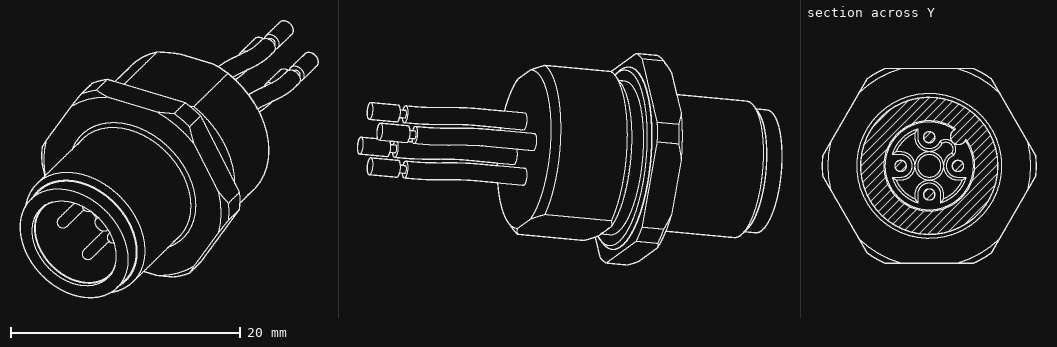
import math

import cadquery as cq


NOSE_DIAMETER = 10.8
NOSE_LENGTH = 1.45
SLEEVE_DIAMETER = 12.0
SLEEVE_CHAMFER = 0.5
SLEEVE_END_DIAMETER = SLEEVE_DIAMETER - 2 * SLEEVE_CHAMFER
COLLAR_DIAMETER = 12.65
COLLAR_LENGTH = 0.3

FLANGE_FRONT = 10.5
FLANGE_THICKNESS = 2.5
FLANGE_BACK = FLANGE_FRONT + FLANGE_THICKNESS
FLANGE_ACROSS_FLATS = 17.0
FLANGE_CORNER_DIAMETER = 18.69
FLANGE_CHAMFER = 0.5
SEAT_DIAMETER = 16.0
SEAT_HEIGHT = 0.35
SEAT_CHAMFER = 0.3

NECK_DIAMETER = 13.5
BODY_FRONT = 14.5
BODY_BACK = 22.0
BODY_DIAMETER = 15.24
BODY_ACROSS_FLATS = NECK_DIAMETER
BODY_CHAMFER = 0.67

MOUTH_DIAMETER = 8.4
MOUTH_DEPTH = 0.45
BORE_FRONT_DIAMETER = 8.25
BORE_FLOOR_DIAMETER = 7.7
FLOOR_Y = 8.5
KEY_DIAMETER = 1.4
KEY_RADIAL_POSITION = 3.6
KEY_ANGLE = 45.0

RECESS_DEPTH = 1.0
RECESS_DRAFT = 0.24
RECESS_DRAFT_ANGLE = math.degrees(math.atan(RECESS_DRAFT / RECESS_DEPTH))
RECESS_FLOOR_Y = FLOOR_Y + RECESS_DEPTH
RECESS_RADIUS = 3.38
LOBE_RADIUS = 0.86
LOBE_OFFSET = 1.45
LOBE_JOIN = 1.9
PIN_LAND_RADIUS = 1.0
CENTRE_POST_RADIUS = 1.0

CONTACT_RADIUS = 2.5
CONTACT_COUNT = 4
PIN_DIAMETER = 1.0
PIN_TIP_Y = 2.0
WIRE_DIAMETER = 1.5
CONDUCTOR_DIAMETER = 0.7
WIRE_OFFSET = 1.24
BEND_START = 26.4
BEND_END = 31.85
INSULATION_END = 32.6
STRIPPED_END = 33.3
WIRE_END = 35.85

OVERLAP = 0.5


def plane_at(y, x=0.0, z=0.0):
    """Plane facing +Y; its local axes are global X and -Z."""
    return cq.Workplane("XZ", origin=(x, y, z)).workplane(invert=True)


def cylinder(diameter, start, end, x=0.0, z=0.0):
    direction = cq.Vector(0, 1, 0)
    return cq.Workplane(cq.Solid.makeCylinder(diameter / 2, end - start, cq.Vector(x, start, z), direction))


def cone(start_radius, end_radius, start, end, x=0.0, z=0.0):
    base = cq.Vector(x, start, z)
    return cq.Workplane(cq.Solid.makeCone(start_radius, end_radius, end - start, base, cq.Vector(0, 1, 0)))


def revolved(profile):
    """Revolve (radius, y) points, closed along the axis, about Y."""
    return cq.Workplane("XY").polyline(profile).close().revolve(360, (0, 0, 0), (0, 1, 0))


def contact_positions():
    """Angle in degrees and X, Z of each contact."""
    for index in range(CONTACT_COUNT):
        angle = index * 360 / CONTACT_COUNT
        x = CONTACT_RADIUS * math.cos(math.radians(angle))
        z = CONTACT_RADIUS * math.sin(math.radians(angle))
        yield angle, x, z


def make_sleeve():
    collar_start = FLANGE_FRONT - COLLAR_LENGTH
    return revolved([
        (0, 0),
        (NOSE_DIAMETER / 2, 0),
        (NOSE_DIAMETER / 2, NOSE_LENGTH),
        (SLEEVE_END_DIAMETER / 2, NOSE_LENGTH),
        (SLEEVE_DIAMETER / 2, NOSE_LENGTH + SLEEVE_CHAMFER),
        (SLEEVE_DIAMETER / 2, collar_start),
        (COLLAR_DIAMETER / 2, FLANGE_FRONT),
        (COLLAR_DIAMETER / 2, FLANGE_FRONT + OVERLAP),
        (0, FLANGE_FRONT + OVERLAP),
    ])


def make_flange():
    """Hexagon with corners on +-X, trimmed by a round blank chamfered at the front."""
    corner_to_corner = FLANGE_ACROSS_FLATS / math.cos(math.pi / 6)
    hexagon = plane_at(FLANGE_FRONT).polygon(6, corner_to_corner).extrude(FLANGE_THICKNESS)
    blank = cylinder(FLANGE_CORNER_DIAMETER, FLANGE_FRONT, FLANGE_BACK)
    blank = blank.faces("<Y").chamfer(FLANGE_CHAMFER)
    seat = cylinder(SEAT_DIAMETER, FLANGE_BACK - OVERLAP, FLANGE_BACK + SEAT_HEIGHT)
    return hexagon.intersect(blank).union(seat.faces(">Y").chamfer(SEAT_CHAMFER))


def make_rear_body():
    neck = cylinder(NECK_DIAMETER, FLANGE_BACK - OVERLAP, BODY_FRONT + OVERLAP)
    body = cylinder(BODY_DIAMETER, BODY_FRONT, BODY_BACK).faces("<Y or >Y").chamfer(BODY_CHAMFER)
    flats = plane_at((BODY_FRONT + BODY_BACK) / 2).box(
        BODY_DIAMETER, BODY_ACROSS_FLATS, BODY_BACK - BODY_FRONT
    )
    return neck.union(body.intersect(flats))


def make_socket():
    """Space inside the sleeve: a short straight mouth, then a bore tapering to the floor."""
    return revolved([
        (0, -OVERLAP),
        (MOUTH_DIAMETER / 2, -OVERLAP),
        (MOUTH_DIAMETER / 2, MOUTH_DEPTH),
        (BORE_FRONT_DIAMETER / 2, MOUTH_DEPTH),
        (BORE_FLOOR_DIAMETER / 2, FLOOR_Y),
        (0, FLOOR_Y),
    ])


def make_key():
    x = KEY_RADIAL_POSITION * math.cos(math.radians(KEY_ANGLE))
    z = KEY_RADIAL_POSITION * math.sin(math.radians(KEY_ANGLE))
    return cylinder(KEY_DIAMETER, MOUTH_DEPTH, FLOOR_Y + OVERLAP, x, z)


def make_pin_land(angle):
    """Island around one pin, open towards the socket wall and widening to the recess floor."""
    base_radius = PIN_LAND_RADIUS + RECESS_DRAFT
    outer_end = RECESS_RADIUS + 2 * RECESS_DRAFT
    land = (
        cq.Workplane("XZ", origin=(0, RECESS_FLOOR_Y, 0))
        .moveTo(outer_end, base_radius)
        .lineTo(CONTACT_RADIUS, base_radius)
        .threePointArc((CONTACT_RADIUS - base_radius, 0), (CONTACT_RADIUS, -base_radius))
        .lineTo(outer_end, -base_radius)
        .close()
        .extrude(RECESS_DEPTH, taper=RECESS_DRAFT_ANGLE)
    )
    return land.rotate((0, 0, 0), (0, 1, 0), -angle)


def make_recess():
    """Floor recess: three open quadrants and, beside the key, a small rounded lobe."""
    corner = cq.Workplane("XY", origin=(0, FLOOR_Y, 0))
    quadrant = corner.box(RECESS_RADIUS, RECESS_DEPTH, RECESS_RADIUS, centered=False)
    join = corner.box(LOBE_JOIN, RECESS_DEPTH, LOBE_JOIN, centered=False)
    lobe = cone(LOBE_RADIUS, LOBE_RADIUS - RECESS_DRAFT, FLOOR_Y, RECESS_FLOOR_Y, LOBE_OFFSET, LOBE_OFFSET)
    recess = cone(RECESS_RADIUS, RECESS_RADIUS - RECESS_DRAFT, FLOOR_Y, RECESS_FLOOR_Y)
    recess = recess.cut(quadrant).union(join).union(lobe)
    for angle, _, _ in contact_positions():
        recess = recess.cut(make_pin_land(angle))
    post = cone(CENTRE_POST_RADIUS, CENTRE_POST_RADIUS + RECESS_DRAFT, FLOOR_Y, RECESS_FLOOR_Y)
    return recess.cut(post)


def make_pin(x, z):
    dome_base = PIN_TIP_Y + PIN_DIAMETER / 2
    shank = cylinder(PIN_DIAMETER, dome_base, FLOOR_Y + OVERLAP, x, z)
    dome = cq.Workplane("XY").sphere(PIN_DIAMETER / 2).translate((x, dome_base, z))
    return shank.union(dome)


def make_wire(x, z):
    """Wire leaving the body straight, stepping sideways in an S-bend, with a stripped band."""
    end_x = x + WIRE_OFFSET
    straight = cylinder(WIRE_DIAMETER, BODY_BACK - OVERLAP, BEND_START, x, z)
    path = (
        cq.Workplane("XY", origin=(0, 0, z))
        .moveTo(x, BEND_START)
        .spline([(end_x, BEND_END)], tangents=[(0, 1), (0, 1)], includeCurrent=True)
    )
    bend = plane_at(BEND_START, x, z).circle(WIRE_DIAMETER / 2).sweep(path)
    cuff = cylinder(WIRE_DIAMETER, BEND_END, INSULATION_END, end_x, z)
    conductor = cylinder(CONDUCTOR_DIAMETER, INSULATION_END - OVERLAP, STRIPPED_END + OVERLAP, end_x, z)
    tip = cylinder(WIRE_DIAMETER, STRIPPED_END, WIRE_END, end_x, z)
    return straight.union(bend).union(cuff).union(conductor).union(tip)


result = make_sleeve().union(make_flange()).union(make_rear_body())
result = result.cut(make_socket()).cut(make_recess()).union(make_key())
for _, contact_x, contact_z in contact_positions():
    result = result.union(make_pin(contact_x, contact_z))
    result = result.union(make_wire(contact_x, contact_z))